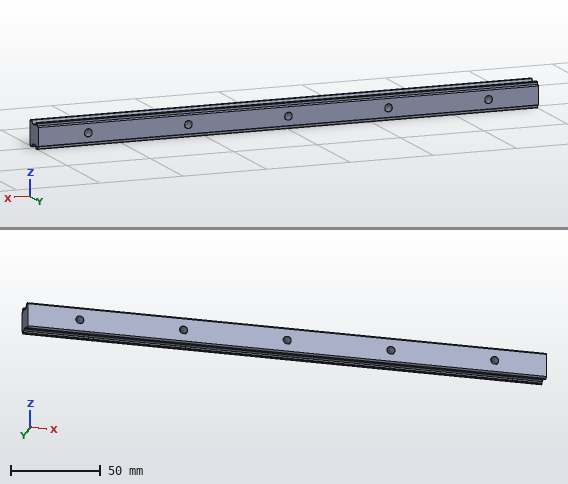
import cadquery as cq

length = 300.0
depth = 13.0
height = 15.0
front_y = -depth / 2
back_y = depth / 2
crest_z = height / 2

front_chamfer = 1.0
head_back_y = -4.0
neck_back_y = 1.2
neck_z = 5.7
neck_front_y = -1.8
ridge_front_y = 2.7
ridge_back_y = 4.8
ridge_foot_z = 6.3
ridge_chamfer = 0.3
back_ledge_z = 6.0
back_edge_z = 5.5

hole_count = 5
hole_pitch = length / hole_count
hole_diameter = 4.5


def make_rail():
    """Extrude the symmetric rail section along X."""
    upper_outline = [
        (front_y, crest_z - front_chamfer),
        (front_y + front_chamfer, crest_z),
        (head_back_y, crest_z),
        (neck_front_y, neck_z),
        (neck_back_y, neck_z),
        (ridge_front_y, ridge_foot_z),
        (ridge_front_y, crest_z - ridge_chamfer),
        (ridge_front_y + ridge_chamfer, crest_z),
        (ridge_back_y - ridge_chamfer, crest_z),
        (ridge_back_y, crest_z - ridge_chamfer),
        (ridge_back_y, back_ledge_z),
        (back_y, back_edge_z),
    ]
    lower_outline = [(y, -z) for y, z in reversed(upper_outline)]
    section = cq.Workplane("YZ").polyline(upper_outline + lower_outline).close()
    return section.extrude(length / 2, both=True)


def make_cross_holes():
    """Row of evenly spaced cylinders passing through the rail along Y."""
    return (
        cq.Workplane("XZ")
        .rarray(hole_pitch, 3, hole_count, 1)
        .circle(hole_diameter / 2)
        .extrude(depth, both=True)
    )


result = make_rail().cut(make_cross_holes())